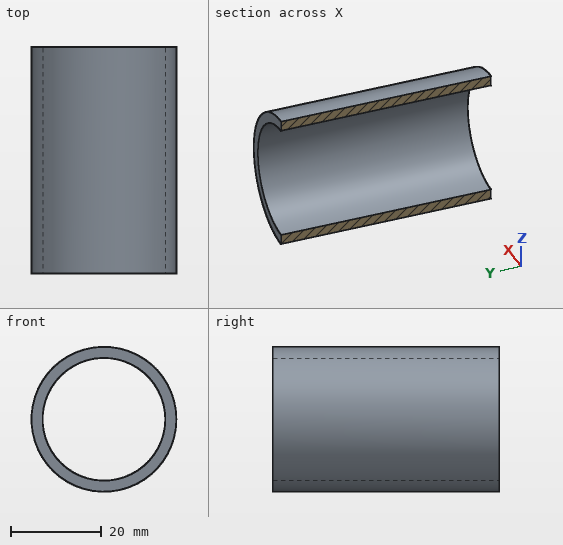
import cadquery as cq

outer_diameter = 32.0
wall_thickness = 2.5
length = 50.0

inner_diameter = outer_diameter - 2 * wall_thickness


def tube():
    """Tube centred on the origin, open at both ends."""
    end_plane = cq.Workplane("XZ", origin=(0, length / 2, 0))
    ring = end_plane.circle(outer_diameter / 2).circle(inner_diameter / 2)
    return ring.extrude(length)


result = tube()